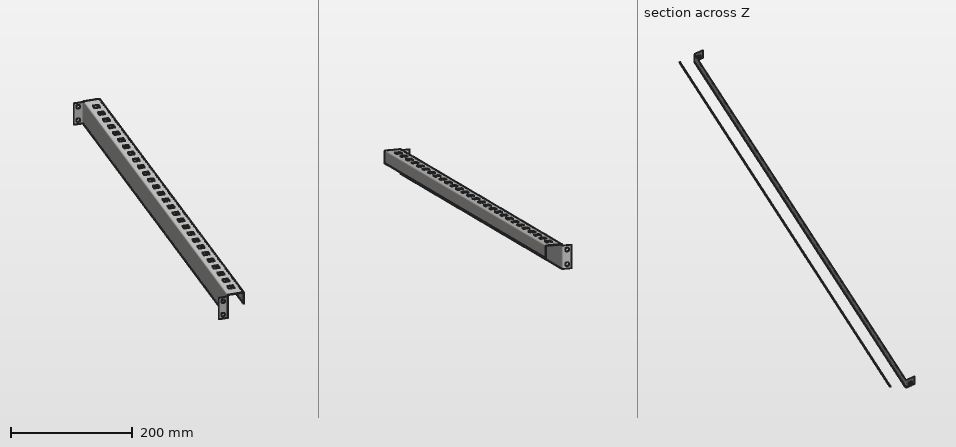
import cadquery as cq

length = 729.0
depth = 45.0
height = 42.0

sheet = 1.5
inner_radius = 1.0
outer_radius = inner_radius + sheet

channel_width = 30.0
lip_height = 22.0
channel_length = length - 2 * outer_radius

top_hole_count = 28
top_hole_row = 675.0
top_hole_side = 9.5
top_hole_pitch = top_hole_row / (top_hole_count - 1)

tab_hole_diameter = 6.5
tab_hole_spacing = 25.0

end_x = length / 2
tab_tip_y = -depth / 2
rear_y = depth / 2
front_y = rear_y - channel_width
top_z = height / 2
bottom_z = -height / 2
tab_height = height - outer_radius


def make_channel():
    """Bent section with rounded top corners, run along X."""
    lip_bottom_z = top_z - lip_height
    inner_top_z = top_z - sheet
    bend_z = top_z - outer_radius
    front_bend_y = front_y + outer_radius
    rear_bend_y = rear_y - outer_radius
    section = (
        cq.Workplane("YZ", origin=(-channel_length / 2, 0, 0))
        .moveTo(front_y, bottom_z)
        .lineTo(front_y, bend_z)
        .radiusArc((front_bend_y, top_z), outer_radius)
        .lineTo(rear_bend_y, top_z)
        .radiusArc((rear_y, bend_z), outer_radius)
        .lineTo(rear_y, lip_bottom_z)
        .lineTo(rear_y - sheet, lip_bottom_z)
        .lineTo(rear_y - sheet, bend_z)
        .radiusArc((rear_bend_y, inner_top_z), -inner_radius)
        .lineTo(front_bend_y, inner_top_z)
        .radiusArc((front_y + sheet, bend_z), -inner_radius)
        .lineTo(front_y + sheet, bottom_z)
        .close()
    )
    return section.extrude(channel_length)


def make_right_tab():
    """Tab at the +X end, bent forward from the front wall."""
    bend_x = end_x - outer_radius
    back_y = front_y + sheet
    bend_y = back_y - outer_radius
    tab = (
        cq.Workplane("XY", origin=(0, 0, bottom_z))
        .moveTo(bend_x, back_y)
        .radiusArc((end_x, bend_y), outer_radius)
        .lineTo(end_x, tab_tip_y)
        .lineTo(end_x - sheet, tab_tip_y)
        .lineTo(end_x - sheet, bend_y)
        .radiusArc((bend_x, front_y), -inner_radius)
        .close()
        .extrude(tab_height)
    )
    hole_y = (front_y + tab_tip_y) / 2
    hole_z = bottom_z + tab_height / 2
    holes = (
        cq.Workplane("YZ", origin=(bend_x, hole_y, hole_z))
        .rarray(7, tab_hole_spacing, 1, 2)
        .circle(tab_hole_diameter / 2)
        .extrude(outer_radius)
    )
    return tab.cut(holes)


def make_top_holes():
    """Row of square cutters through the middle of the top."""
    return (
        cq.Workplane("XY", origin=(0, (front_y + rear_y) / 2, top_z - sheet))
        .rarray(top_hole_pitch, 7, top_hole_count, 1)
        .rect(top_hole_side, top_hole_side)
        .extrude(sheet)
    )


right_tab = make_right_tab()
left_tab = right_tab.mirror("YZ")
result = make_channel().cut(make_top_holes()).union(right_tab).union(left_tab)